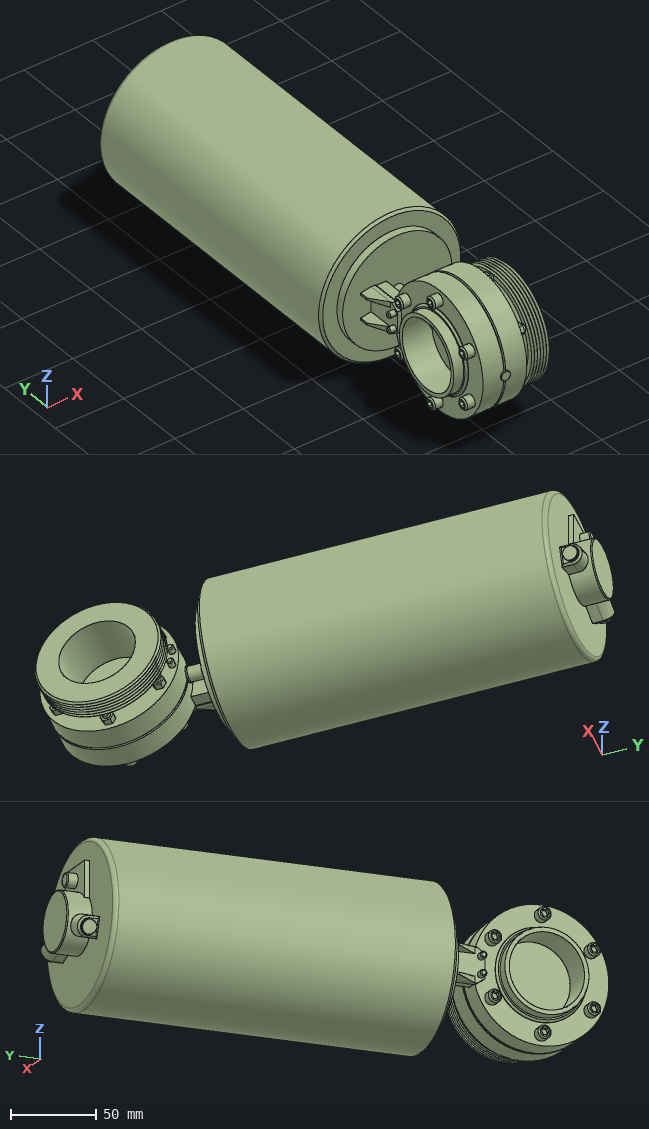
import cadquery as cq
import math


actuator_radius = 52.0
actuator_front = 68.0
actuator_back = 286.5
actuator_front_chamfer = 1.7
actuator_back_fillet = 2.8
spigot_radius = 40.0
spigot_front = 62.5
cap_radius = 18.7
cap_back = 302.3
cap_edge = 0.7
fitting_tilt = 20.0
fitting_length = 31.0
fitting_half_width = 6.5
fitting_chamfer = 1.5
fitting_y = 293.0
port_radius = 4.5
port_tip = 32.2
plate_half_width = 14.5
plate_low = 12.0
plate_high = 35.0
plate_thickness = 3.0
knob_radius = 4.5
knob_edge = 0.7
knob_z = 26.5
knob_back = 296.0

shaft_radius = 5.0
shaft_joint = 53.7
shaft_edge = 0.7
stem_collar_height = 1.0
stem_collar_radius = 5.2
pivot_radius = 3.3
pivot_end = -44.5
disc_thickness = 7.0
stem_end = 23.0

valve_radius = 43.5
half_width = 16.0
seam_chamfer = 0.7
bore_radius = 24.0
pipe_radius = 26.7
pipe_end = 25.0
bead_radius = 29.0
bead_thickness = 1.7
bead_chamfer = 1.5
bolt_count = 6
bolt_circle_radius = 36.5
bolt_head_radius = 4.0
bolt_head_height = 6.5
bolt_head_chamfer = 1.0
socket_flats = 4.0
socket_depth = 2.8
nut_flats = 7.3
nut_height = 4.0
bolt_end_radius = 2.5
bolt_end_height = 6.2

cone_end_radius = 34.5
thread_start = 23.2
thread_end = 36.5
thread_radius = 39.5
thread_depth = 1.5
thread_count = 6

block_inner = -8.0
block_half_height = 10.5
bracket_outer = -19.0
bracket_half_height = 11.0
tongue_end = 36.7
tongue_half_height = 7.5
tongue_taper_start = 42.0
gusset_outer = -26.7
gusset_corner = 56.0
gusset_end = 43.5
gusset_root_thickness = 4.0
gusset_tip_thickness = 1.5
screw_radius = 2.0
screw_height = 5.0
screw_chamfer = 0.7
screw_y = 39.5
screw_z = 5.5


def rod_y(radius, start, end, z=0):
    """Cylinder along Y from start to end."""
    return cq.Workplane("XZ", origin=(0, start, z)).circle(radius).extrude(start - end)


def rod_x(radius, start, end, y=0, z=0):
    """Cylinder along X from start to end."""
    return cq.Workplane("YZ", origin=(start, y, z)).circle(radius).extrude(end - start)


def hex_x(flats, start, end, y, z):
    """Hexagonal bar along X with two corners pointing along Y."""
    corners = flats / math.cos(math.pi / 6)
    return cq.Workplane("YZ", origin=(start, y, z)).polygon(6, corners).extrude(end - start)


def box(x_range, y_range, z_range):
    """Box between the given pairs of limits."""
    size = [high - low for low, high in (x_range, y_range, z_range)]
    corner = [low for low, high in (x_range, y_range, z_range)]
    return cq.Workplane("XY").box(*size, centered=False).translate(corner)


def bolt_places():
    """Y and Z of each bolt on the bolt circle."""
    for index in range(bolt_count):
        angle = math.radians(90 + index * 360 / bolt_count)
        yield bolt_circle_radius * math.cos(angle), bolt_circle_radius * math.sin(angle)


def side_fitting():
    """Round-backed air fitting on the +X side of the rear cap, tilted downwards, with a port ring."""
    foot_y = actuator_back - fitting_y
    body = (
        cq.Workplane("YZ")
        .moveTo(foot_y, -fitting_half_width)
        .lineTo(0, -fitting_half_width)
        .threePointArc((fitting_half_width, 0), (0, fitting_half_width))
        .lineTo(foot_y, fitting_half_width)
        .close()
        .extrude(fitting_length)
        .faces(">X")
        .chamfer(fitting_chamfer)
    )
    fitting = body.union(rod_x(port_radius, 0, port_tip))
    return fitting.rotate((0, 0, 0), (0, 1, 0), fitting_tilt).translate((0, fitting_y, 0))


def make_actuator():
    """Actuator barrel with its front spigot, output shaft and rear cap fittings."""
    barrel = rod_y(actuator_radius, actuator_front, actuator_back)
    barrel = barrel.faces("<Y").chamfer(actuator_front_chamfer)
    barrel = barrel.faces(">Y").edges().fillet(actuator_back_fillet)
    barrel = barrel.union(rod_y(spigot_radius, spigot_front, actuator_front))
    output_shaft = rod_y(shaft_radius, shaft_joint, spigot_front).faces("<Y").chamfer(shaft_edge)
    cap = rod_y(cap_radius, actuator_back, cap_back).faces(">Y").chamfer(cap_edge)
    fitting = side_fitting()
    plate = box(
        (-plate_half_width, plate_half_width),
        (actuator_back, actuator_back + plate_thickness),
        (plate_low, plate_high),
    )
    knob = rod_y(knob_radius, actuator_back, knob_back, z=knob_z).faces(">Y").chamfer(knob_edge)
    actuator = barrel.union(output_shaft).union(cap).union(plate).union(knob)
    return actuator.union(fitting).union(fitting.mirror("YZ"))


def make_stem():
    """Valve stem with the closing disc and the lower pivot."""
    stem = rod_y(shaft_radius, stem_end, shaft_joint).faces(">Y").chamfer(shaft_edge)
    collar = rod_y(stem_collar_radius, valve_radius, valve_radius + stem_collar_height)
    pivot = rod_y(pivot_radius, pivot_end, -stem_end)
    disc = rod_x(bore_radius, -disc_thickness / 2, disc_thickness / 2)
    return disc.union(stem).union(collar).union(pivot)


def flange_ring():
    """Flange of one valve half on the +X side, with the bead around the root of its pipe end."""
    ring = rod_x(valve_radius, 0, half_width).faces("<X").chamfer(seam_chamfer)
    bead = rod_x(bead_radius, half_width, half_width + bead_thickness)
    return ring.union(bead.faces(">X").chamfer(bead_chamfer))


def face_screw(start):
    """Upper bracket screw end along X, standing on a face at the given X; its tip is chamfered."""
    screw = rod_x(screw_radius, start, start + screw_height, screw_y, screw_z)
    return screw.faces(">X").chamfer(screw_chamfer)


def cut_passages(half, mouth):
    """Cut the bore up to its mouth and the holes in which the stem turns."""
    half = half.cut(rod_x(bore_radius, 0, mouth))
    return half.cut(rod_y(shaft_radius, 0, valve_radius)).cut(rod_y(pivot_radius, -valve_radius, 0))


def make_plain_half():
    """Half on the -X side with a plain pipe end and the bolt heads; built on +X and mirrored."""
    half = flange_ring().union(rod_x(pipe_radius, half_width, pipe_end))
    head_end = half_width + bolt_head_height
    for y, z in bolt_places():
        head = rod_x(bolt_head_radius, half_width, head_end, y, z).faces(">X").chamfer(bolt_head_chamfer)
        half = half.union(head.cut(hex_x(socket_flats, head_end - socket_depth, head_end, y, z)))
    half = cut_passages(half, pipe_end)
    return half.mirror("YZ")


def threaded_end():
    """Flared pipe end with V-shaped grooves for the union nut."""
    pitch = (thread_end - thread_start) / thread_count
    profile = (
        cq.Workplane("XY")
        .lineTo(0, bead_radius)
        .lineTo(half_width + bead_thickness, bead_radius)
        .lineTo(thread_start, cone_end_radius)
        .lineTo(thread_start, thread_radius - thread_depth)
    )
    for index in range(thread_count):
        start = thread_start + index * pitch
        profile = profile.lineTo(start + pitch / 2, thread_radius)
        profile = profile.lineTo(start + pitch, thread_radius - thread_depth)
    return profile.lineTo(thread_end, 0).close().revolve(360, (0, 0, 0), (1, 0, 0))


def make_threaded_half():
    """Half on the +X side with the threaded pipe end, the nuts and the bracket screw ends."""
    half = flange_ring().union(threaded_end())
    for y, z in bolt_places():
        half = half.union(hex_x(nut_flats, half_width, half_width + nut_height, y, z))
        half = half.union(rod_x(bolt_end_radius, half_width, half_width + bolt_end_height, y, z))
    screw = face_screw(half_width)
    half = half.union(screw).union(screw.mirror("XY"))
    return cut_passages(half, thread_end)


def bracket_gusset():
    """Triangular rib at the top edge of the bracket, thinning from its root to its outer edge."""
    triangle = (
        cq.Workplane("XY")
        .moveTo(bracket_outer, spigot_front)
        .lineTo(gusset_outer, spigot_front)
        .lineTo(gusset_outer, gusset_corner)
        .lineTo(bracket_outer, gusset_end)
        .close()
        .extrude(bracket_half_height)
    )
    root_low = bracket_half_height - gusset_root_thickness
    middle = bracket_half_height - gusset_root_thickness / 2
    wedge = (
        cq.Workplane("XZ")
        .moveTo(bracket_outer, root_low)
        .lineTo(bracket_outer, bracket_half_height)
        .lineTo(gusset_outer, middle + gusset_tip_thickness / 2)
        .lineTo(gusset_outer, middle - gusset_tip_thickness / 2)
        .close()
        .extrude(-spigot_front)
    )
    return triangle.intersect(wedge)


def bracket_tongue():
    """Plate that runs from the actuator down over the valve face and narrows at its end."""
    return (
        cq.Workplane("YZ", origin=(bracket_outer, 0, 0))
        .moveTo(spigot_front, bracket_half_height)
        .lineTo(tongue_taper_start, bracket_half_height)
        .lineTo(tongue_end, tongue_half_height)
        .lineTo(tongue_end, -tongue_half_height)
        .lineTo(tongue_taper_start, -bracket_half_height)
        .lineTo(spigot_front, -bracket_half_height)
        .close()
        .extrude(-half_width - bracket_outer)
    )


def make_bracket():
    """Bracket between the actuator and the valve: block on the rim, tongue, ribs and screws."""
    z_range = (-block_half_height, block_half_height)
    block = box((-half_width, block_inner), (0, spigot_front), z_range)
    block = block.cut(rod_x(valve_radius, -half_width, 0))
    gusset = bracket_gusset()
    bracket = block.union(bracket_tongue()).union(gusset).union(gusset.mirror("XY"))
    screw = face_screw(-bracket_outer).mirror("YZ")
    return bracket.union(screw).union(screw.mirror("XY"))


actuator = make_actuator()
stem = make_stem()
plain_half = make_plain_half()
threaded_half = make_threaded_half()
bracket = make_bracket()

result = cq.Compound.makeCompound(
    [actuator.val(), stem.val(), plain_half.val(), threaded_half.val(), bracket.val()]
)